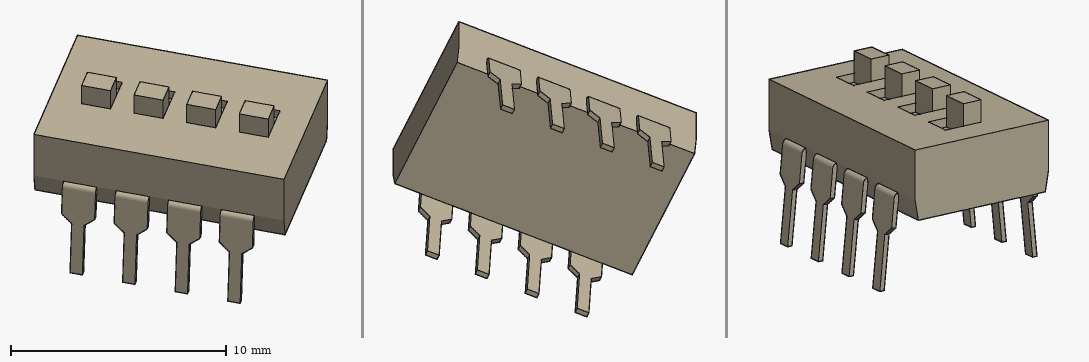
import cadquery as cq
import math


body_length = 12.09
body_width = 7.5
body_height = 3.5
skirt_height = 1.0
skirt_draft = 10.0

position_count = 4
pitch = 2.54

recess_length = 1.4
recess_travel = 2.0
recess_depth = 0.45
actuator_width = recess_travel / 2
actuator_rise = 1.1

lead_thickness = 0.25
lead_splay = 5.75
lead_drop = 3.9
lead_span = 8.85
lead_bend_radius = 0.28
lead_embed = 0.5
shoulder_width = 1.6
tip_width = 0.6
shoulder_bottom = -0.7
neck_top = -1.15
cutter_reach = lead_drop + skirt_height

half_width = body_width / 2
position_xs = [(i - (position_count - 1) / 2) * pitch for i in range(position_count)]


def make_housing():
    """Block whose lower skirt tapers inward on the two lead sides."""
    bottom_half = half_width - skirt_height * math.tan(math.radians(skirt_draft))
    outline = [
        (-bottom_half, 0),
        (bottom_half, 0),
        (half_width, skirt_height),
        (half_width, body_height),
        (-half_width, body_height),
        (-half_width, skirt_height),
    ]
    return cq.Workplane("YZ").polyline(outline).close().extrude(body_length / 2, both=True)


def make_recess(x):
    """Shallow rectangular cutter in the top face."""
    return (
        cq.Workplane("XY", origin=(x, 0, body_height - recess_depth))
        .rect(recess_length, recess_travel)
        .extrude(recess_depth)
    )


def make_actuator(x):
    """Slider filling the -Y half of its recess and standing above the top face."""
    return (
        cq.Workplane("XY", origin=(x, -actuator_width / 2, body_height - recess_depth))
        .rect(recess_length, actuator_width)
        .extrude(recess_depth + actuator_rise)
    )


def make_lead_bank():
    """Side profile of the +Y leads as one sheet along X: a stub bent down and splayed outward."""
    splay = math.radians(lead_splay)
    tip_outer = lead_span / 2
    level_thickness = lead_thickness / math.cos(splay)

    def outer_face_y(z):
        return tip_outer - (z + lead_drop) * math.tan(splay)

    def inner_face_y(z):
        return outer_face_y(z) - level_thickness

    bend_z = skirt_height - lead_bend_radius
    bend_y = outer_face_y(bend_z) - lead_bend_radius / math.cos(splay)

    def bend_point(angle):
        return (
            bend_y + lead_bend_radius * math.cos(angle),
            bend_z + lead_bend_radius * math.sin(angle),
        )

    stub_bottom = skirt_height - lead_thickness
    stub_end = half_width - lead_embed
    return (
        cq.Workplane("YZ")
        .moveTo(stub_end, skirt_height)
        .lineTo(bend_y, skirt_height)
        .threePointArc(bend_point((splay + math.pi / 2) / 2), bend_point(splay))
        .lineTo(tip_outer, -lead_drop)
        .lineTo(inner_face_y(-lead_drop), -lead_drop)
        .lineTo(inner_face_y(stub_bottom), stub_bottom)
        .lineTo(stub_end, stub_bottom)
        .close()
        .extrude(body_length / 2, both=True)
    )


def make_lead_cutter(x):
    """Lead outline swept square to the splayed sheet: wide shoulder narrowing to a slender tip."""
    shoulder = shoulder_width / 2
    tip = tip_width / 2
    outline = [
        (-shoulder, cutter_reach),
        (shoulder, cutter_reach),
        (shoulder, shoulder_bottom),
        (tip, neck_top),
        (tip, -cutter_reach),
        (-tip, -cutter_reach),
        (-tip, neck_top),
        (-shoulder, shoulder_bottom),
    ]
    outer_y_at_underside = lead_span / 2 - lead_drop * math.tan(math.radians(lead_splay))
    return (
        cq.Workplane("XZ", origin=(x, outer_y_at_underside, 0))
        .transformed(rotate=(lead_splay, 0, 0))
        .polyline(outline)
        .close()
        .extrude(cutter_reach, both=True)
    )


result = make_housing()
lead_bank = make_lead_bank()
for position_x in position_xs:
    lead = lead_bank.intersect(make_lead_cutter(position_x))
    result = result.cut(make_recess(position_x)).union(make_actuator(position_x))
    result = result.union(lead).union(lead.mirror("XZ"))